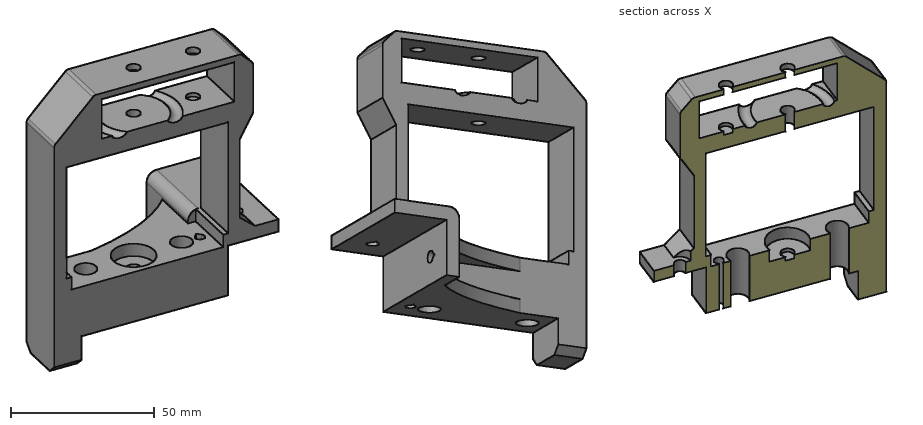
import cadquery as cq
import math

total_width = 50.0
total_depth = 89.0
total_height = 108.5

wall = 5.0
frame_width = 20.0
frame_x = total_width - frame_width
frame_center_x = total_width - frame_width / 2
frame_depth = 79.0
column_back_y = 73.7
window_back_y = 69.0
waist_top_z = 83.5
waist_bottom_z = 74.3
front_bevel = 16.0
back_bevel = wall
corner_radius = 2.0

base_z = 12.5
floor_z = 32.5
shelf_z = floor_z + wall
shelf_front_y = window_back_y - wall
shelf_fillet = 4.0
foot_depth = 11.0
foot_chamfer = 3.0
gusset_run = 6.0
gusset_rise = wall
scoop_center_x = -2.8
scoop_half_width = 35.4
scoop_half_depth = 69.9

window_top_z = 82.5
lip = 2.0
slot_front_y = 19.0
slot_back_y = 71.5
slot_bottom_z = 90.1
slot_top_z = 106.0

bolt_diameter = 5.0
bolt_y = 37.0
bolt_spacing = 23.5
counterbore_diameter = 16.0
counterbore_depth = wall
blind_hole_depth = 1.5
side_hole_diameter = 8.0
side_hole_offset = 19.0
drain_diameter = 3.6
drain_y = 63.3

groove_ring_radius = 15.0
groove_radius = 2.3
groove_depth = 1.6

screw_diameter = 4.3
screw_head_diameter = 8.0
wall_screw_x = 12.8
wall_screw_z = 22.6
shelf_screw_x = 38.0
shelf_screw_y = frame_depth


def box(x0, x1, y0, y1, z0, z1):
    """Box given by its limits along each axis."""
    return cq.Workplane("XY").box(x1 - x0, y1 - y0, z1 - z0, centered=False).translate((x0, y0, z0))


def cylinder(x, y, z0, z1, diameter):
    """Upright cylinder between two heights."""
    return cq.Workplane("XY", origin=(x, y, z0)).circle(diameter / 2).extrude(z1 - z0)


def teardrop(plane, origin, diameter, length):
    """Teardrop prism: a circle with a right-angled tip pointing toward -X."""
    radius = diameter / 2
    tangent = radius * math.sqrt(0.5)
    return (
        cq.Workplane(plane, origin=origin)
        .moveTo(-tangent, tangent)
        .threePointArc((radius, 0), (-tangent, -tangent))
        .lineTo(-2 * tangent, 0)
        .close()
        .extrude(length)
    )


def frame():
    """Upright frame with bevelled top corners, waisted back column and foot."""
    outline = [
        (0, 0),
        (foot_depth, 0),
        (foot_depth, base_z),
        (window_back_y, base_z),
        (window_back_y, shelf_z),
        (column_back_y + gusset_run, shelf_z),
        (column_back_y, shelf_z + gusset_rise),
        (column_back_y, waist_bottom_z),
        (frame_depth, waist_top_z),
        (frame_depth, total_height - back_bevel),
        (frame_depth - back_bevel, total_height),
        (front_bevel, total_height),
        (0, total_height - front_bevel),
    ]
    body = cq.Workplane("YZ", origin=(frame_x, 0, 0)).polyline(outline).close().extrude(frame_width)
    top_zone = cq.selectors.BoxSelector(
        (frame_x, -wall, total_height - front_bevel - lip),
        (total_width, total_depth, total_height + wall),
    )
    body = body.edges("|X").edges(top_zone).fillet(corner_radius)
    return body.faces("<Z").edges("|Y").chamfer(foot_chamfer)


def frame_openings():
    """Main window with its stepped sill, and the slot above it."""
    window = box(frame_x, total_width, wall, window_back_y, shelf_z, window_top_z)
    sill = box(frame_x, total_width, wall + lip, window_back_y - lip, floor_z, shelf_z)
    slot = box(frame_x, total_width, slot_front_y, slot_back_y, slot_bottom_z, slot_top_z)
    return window.union(sill).union(slot)


def shelf():
    """L-shaped shelf: a flat plate and a hanging plate with a rounded front corner."""
    flat = box(0, total_width, shelf_front_y, total_depth, floor_z, shelf_z)
    hanging = box(0, total_width, shelf_front_y, window_back_y, base_z, shelf_z)
    corner = cq.selectors.NearestToPointSelector((total_width / 2, shelf_front_y, shelf_z))
    return flat.union(hanging).edges("|X").edges(corner).fillet(shelf_fillet)


def brackets():
    """Two plates bracing the hanging plate against the frame, scooped by an elliptical cylinder."""
    block = box(0, frame_x, 0, shelf_front_y, base_z, floor_z)
    gap = box(0, frame_x, 0, shelf_front_y, base_z + wall, floor_z - wall)
    scoop = (
        cq.Workplane("XY", origin=(scoop_center_x, 0, base_z))
        .ellipse(scoop_half_width, scoop_half_depth)
        .extrude(floor_z - base_z)
    )
    return block.cut(gap).cut(scoop)


def vertical_holes():
    """Bolt holes in the top, and the hole pattern in the sill below them."""
    center = frame_center_x
    cuts = cylinder(center, bolt_y, floor_z - counterbore_depth, floor_z, counterbore_diameter)
    blind_z = floor_z - counterbore_depth - blind_hole_depth
    cuts = cuts.union(cylinder(center, bolt_y, blind_z, floor_z, bolt_diameter))
    cuts = cuts.union(cylinder(center, bolt_y, window_top_z, total_height, bolt_diameter))
    rear_blind_z = slot_bottom_z - blind_hole_depth
    cuts = cuts.union(cylinder(center, bolt_y + bolt_spacing, rear_blind_z, total_height, bolt_diameter))
    for y in (bolt_y - side_hole_offset, bolt_y + side_hole_offset):
        cuts = cuts.union(cylinder(center, y, base_z, floor_z, side_hole_diameter))
    return cuts.union(teardrop("XY", (center, drain_y, base_z), drain_diameter, floor_z - base_z))


def groove():
    """Ring groove of round section in the slot floor, centred on the front bolt."""
    section_z = slot_bottom_z - groove_depth + groove_radius
    return (
        cq.Workplane("XZ", origin=(frame_center_x, bolt_y, section_z))
        .center(groove_ring_radius, 0)
        .circle(groove_radius)
        .revolve(360, (-groove_ring_radius, 0), (-groove_ring_radius, 1))
    )


def screw_holes():
    """Teardrop screw holes in both shelf plates, with head room cut in the gusset."""
    wall_hole = teardrop("XZ", (wall_screw_x, window_back_y, wall_screw_z), screw_diameter, wall)
    shelf_hole = teardrop("XY", (shelf_screw_x, shelf_screw_y, floor_z), screw_diameter, wall)
    head_room = teardrop("XY", (shelf_screw_x, shelf_screw_y, shelf_z), screw_head_diameter, gusset_rise)
    return wall_hole.union(shelf_hole).union(head_room)


body = frame().union(box(frame_x, total_width, 0, window_back_y, base_z, shelf_z))
body = body.cut(frame_openings())
shelf_outside = shelf().cut(box(frame_x, total_width, 0, window_back_y, base_z, shelf_z))
result = body.union(shelf_outside).union(brackets())
result = result.cut(vertical_holes()).cut(groove()).cut(screw_holes())